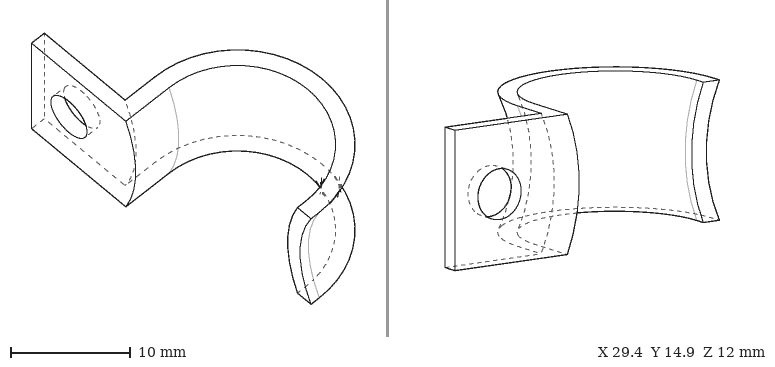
import cadquery as cq
import math

length = 29.35
width = 12.0
thickness = 1.5
hoop_rim_radius = 9.83
waist_depth = 1.32
free_leg = 0.97
flange_leg = 5.02
hole_diameter = 4.35
hole_from_edge = 4.5

half_width = width / 2
outer_arc_radius = (half_width**2 + waist_depth**2) / (2 * waist_depth)
inner_arc_radius = outer_arc_radius + thickness
outer_waist = hoop_rim_radius - waist_depth
inner_waist = outer_waist - thickness
arc_center = outer_waist + outer_arc_radius
inner_rim_radius = arc_center - math.sqrt(inner_arc_radius**2 - half_width**2)
flange_left = hoop_rim_radius - length


def strap_section(side):
    """Curved strap section in the XZ plane, on the +X (1) or -X (-1) side."""
    return (
        cq.Workplane("XZ")
        .moveTo(side * hoop_rim_radius, -half_width)
        .threePointArc((side * outer_waist, 0), (side * hoop_rim_radius, half_width))
        .lineTo(side * inner_rim_radius, half_width)
        .threePointArc((side * inner_waist, 0), (side * inner_rim_radius, -half_width))
        .close()
    )


hoop = strap_section(1).revolve(180, (0, 0), (0, 1))
short_leg = strap_section(1).extrude(free_leg)
long_leg = strap_section(-1).extrude(flange_leg)

flange = cq.Workplane("XY").box(
    -outer_waist - flange_left, thickness, width, centered=(False, False, True)
).translate((flange_left, -flange_leg, 0))

hole = (
    cq.Workplane("XZ")
    .center(flange_left + hole_from_edge, 0)
    .circle(hole_diameter / 2)
    .extrude(flange_leg)
)

result = hoop.union(short_leg).union(long_leg).union(flange).cut(hole)